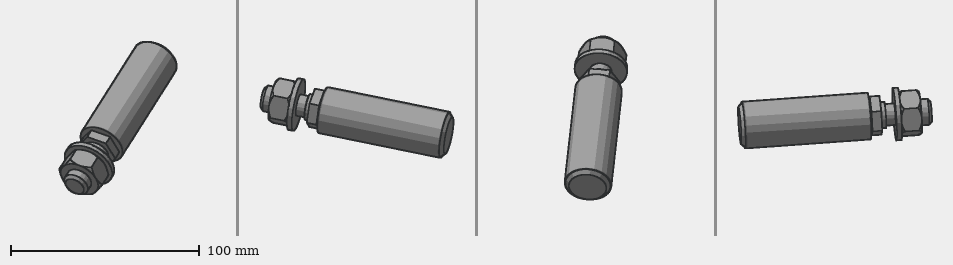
import cadquery as cq
import math


sleeve_diameter = 25.0
sleeve_length = 67.0
sleeve_edge_length = 0.5
sleeve_edge_drop = 0.15
cap_length = 2.0
cap_tip_diameter = 20.0
cap_base_diameter = cap_tip_diameter + 2 * cap_length

stud_diameter = 14.0
stud_tip_chamfer = 1.6
neck_diameter = 12.0
neck_length = 0.8
collar_length = 2.5
relief_diameter = 11.6
relief_length = 5.0
stud_protrusion = 5.8

stud_hex_flats = 19.0
stud_hex_length = 5.2
washer_diameter = 28.0
washer_thickness = 2.7
nut_flats = 22.0
nut_height = 11.0
nut_chamfer_angle = 45.0

stud_hex_back = -neck_length
collar_back = stud_hex_back - stud_hex_length
relief_back = collar_back - collar_length
washer_back = relief_back - relief_length
nut_back = washer_back - washer_thickness
nut_front = nut_back - nut_height


def plane_at(y):
    """XZ workplane at the given Y; extrusions from it run towards -Y."""
    return cq.Workplane("XZ", origin=(0, y, 0))


def disc(y_back, length, diameter):
    """Cylinder running from y_back towards -Y."""
    return plane_at(y_back).circle(diameter / 2).extrude(length)


def across_corners(flats):
    """Corner-to-corner width of a regular hexagon."""
    return flats / math.cos(math.pi / 6)


def hexagon(y_back, length, flats):
    """Hexagonal prism with two corners on the X direction."""
    return plane_at(y_back).polygon(6, across_corners(flats)).extrude(length)


def turned(profile):
    """Solid of revolution about Y from (radius, y) points, closed along the axis."""
    first_y = profile[0][1]
    last_y = profile[-1][1]
    outline = [(0, first_y)] + profile + [(0, last_y)]
    return cq.Workplane("XY").polyline(outline).close().revolve(360, (0, 0, 0), (0, 1, 0))


def make_sleeve():
    """Sleeve with a slight taper at both ends, continued by the conical cap."""
    sleeve_radius = sleeve_diameter / 2
    end_radius = sleeve_radius - sleeve_edge_drop
    return turned([
        (end_radius, 0),
        (sleeve_radius, sleeve_edge_length),
        (sleeve_radius, sleeve_length - sleeve_edge_length),
        (end_radius, sleeve_length),
        (cap_base_diameter / 2, sleeve_length),
        (cap_tip_diameter / 2, sleeve_length + cap_length),
    ])


def make_nut():
    """Hex nut with its corners turned to a cone at both ends."""
    flat_radius = nut_flats / 2
    corner_radius = across_corners(nut_flats) / 2
    cone_length = (corner_radius - flat_radius) * math.tan(math.radians(nut_chamfer_angle))
    envelope = turned([
        (flat_radius, nut_front),
        (corner_radius, nut_front + cone_length),
        (corner_radius, nut_back - cone_length),
        (flat_radius, nut_back),
    ])
    return hexagon(nut_back, nut_height, nut_flats).intersect(envelope)


def make_stud_tip():
    tip = disc(nut_front, stud_protrusion, stud_diameter)
    return tip.faces("<Y").edges().chamfer(stud_tip_chamfer)


result = (
    make_sleeve()
    .union(disc(0, neck_length, neck_diameter))
    .union(hexagon(stud_hex_back, stud_hex_length, stud_hex_flats))
    .union(disc(collar_back, collar_length, stud_diameter))
    .union(disc(relief_back, relief_length, relief_diameter))
    .union(disc(washer_back, washer_thickness, washer_diameter))
    .union(make_nut())
    .union(make_stud_tip())
)